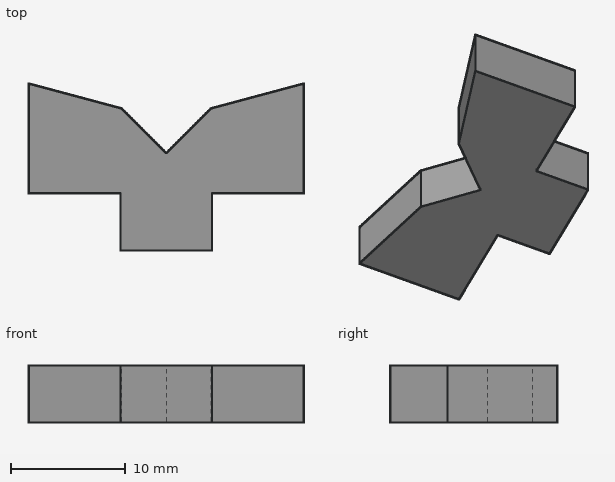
import cadquery as cq
import math

width = 24.0
depth = 14.6
thickness = 5.0

stem_width = width / 3
stem_length = 5.0

notch_half_width = 3.9
wing_slope = math.radians(15)

half_width = width / 2
half_stem = stem_width / 2
notch_top_y = depth - (half_width - notch_half_width) * math.tan(wing_slope)
notch_bottom_y = notch_top_y - notch_half_width

half_outline = [
    (0, 0),
    (half_stem, 0),
    (half_stem, stem_length),
    (half_width, stem_length),
    (half_width, depth),
    (notch_half_width, notch_top_y),
    (0, notch_bottom_y),
]
left_outline = [(-x, y) for x, y in reversed(half_outline[1:-1])]

result = cq.Workplane("XY").polyline(half_outline + left_outline).close().extrude(thickness)